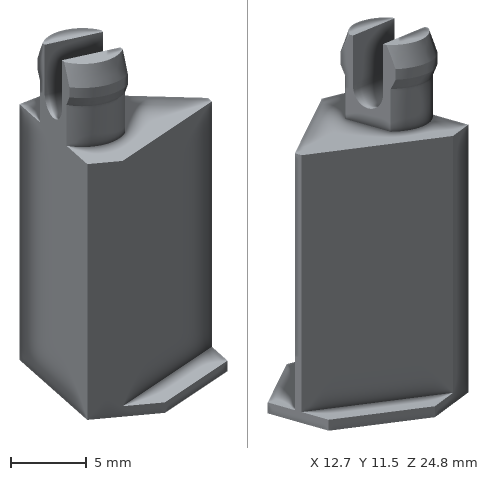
import cadquery as cq
import math

total_height = 24.75
depth = 11.5

pin_height = 6.0
column_height = total_height - pin_height
flange_thickness = 0.77
front_half_width = 5.0
rear_slope = 60.0
column_shoulder_y = 2.3
flange_shoulder_y = 5.05
flange_half_width = 6.34

side_flare = (flange_half_width - front_half_width) / flange_shoulder_y

pin_thickness = 4.3
pin_axis_y = pin_thickness / 2
shaft_radius = 2.9
head_radius = 3.2
tip_radius = 2.67
shaft_height = 3.0
head_taper_height = 0.75
head_band_height = 0.75
slot_width = 2.57
slot_floor_height = 1.2


def flared_half_width(y):
    """Half width of the flared side faces at a distance y behind the front face."""
    return front_half_width + y * side_flare


def prism(points, height):
    return cq.Workplane("XY").polyline(points).close().extrude(height)


def make_column():
    half_width = flared_half_width(column_shoulder_y)
    sharp_tip_y = column_shoulder_y + half_width * math.tan(math.radians(rear_slope))
    tip_half_width = (sharp_tip_y - depth) / math.tan(math.radians(rear_slope))
    outline = [
        (-front_half_width, 0),
        (front_half_width, 0),
        (half_width, column_shoulder_y),
        (tip_half_width, depth),
        (-tip_half_width, depth),
        (-half_width, column_shoulder_y),
    ]
    return prism(outline, column_height)


def make_flange():
    rear_run = (depth - flange_shoulder_y) / math.tan(math.radians(rear_slope))
    rear_half_width = flange_half_width - rear_run
    outline = [
        (-front_half_width, 0),
        (front_half_width, 0),
        (flange_half_width, flange_shoulder_y),
        (rear_half_width, depth),
        (-rear_half_width, depth),
        (-flange_half_width, flange_shoulder_y),
    ]
    return prism(outline, flange_thickness)


def make_housing():
    return make_column().union(make_flange()).solids()


def make_snap_pin():
    band_bottom = shaft_height + head_taper_height
    band_top = band_bottom + head_band_height
    half_profile = [
        (0, 0),
        (shaft_radius, 0),
        (shaft_radius, shaft_height),
        (head_radius, band_bottom),
        (head_radius, band_top),
        (tip_radius, pin_height),
        (0, pin_height),
    ]
    pin = cq.Workplane("XZ").polyline(half_profile).close().revolve(360, (0, 0), (0, 1))

    flats = cq.Workplane("XY").box(
        2 * head_radius, pin_thickness, pin_height, centered=(True, True, False)
    )

    slot_radius = slot_width / 2
    slot_axis_height = slot_floor_height + slot_radius
    slot = (
        cq.Workplane("XZ")
        .moveTo(-slot_radius, pin_height)
        .lineTo(-slot_radius, slot_axis_height)
        .threePointArc((0, slot_floor_height), (slot_radius, slot_axis_height))
        .lineTo(slot_radius, pin_height)
        .close()
        .extrude(pin_thickness, both=True)
    )
    prongs = pin.intersect(flats).cut(slot)
    return prongs.translate((0, pin_axis_y, column_height)).solids()


housing = make_housing()
snap_pin = make_snap_pin()

result = cq.Compound.makeCompound([housing.val(), snap_pin.val()])